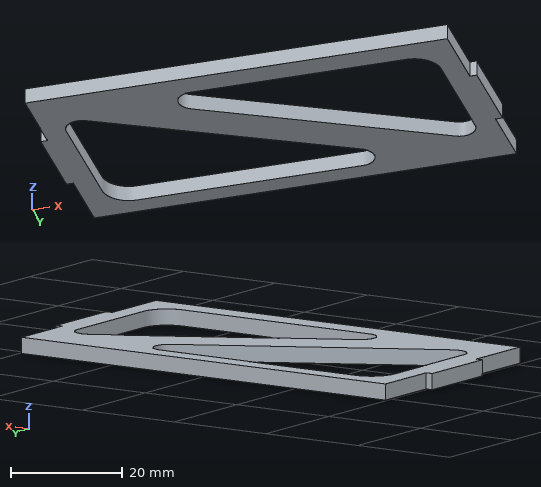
import cadquery as cq
import math

overall_length = 82.0
plate_width = 43.0
thickness = 3.0
tab_length = 1.3
body_length = overall_length - 2 * tab_length

tab_width = 16.0
tab_front_margin = 14.0
tab_center_y = -plate_width / 2 + tab_front_margin + tab_width / 2

window_half_length = 35.5
back_rim = 4.0
front_rim = 5.0
brace_width = 8.0
square_corner_radius = 5.0
sharp_corner_radius = 3.0

brace_slope = plate_width / body_length
brace_half_height = brace_width / 2 / math.cos(math.atan(brace_slope))


def plate_with_tabs():
    body = cq.Workplane("XY").box(body_length, plate_width, thickness)
    tabs = (
        cq.Workplane("XY")
        .center(0, tab_center_y)
        .box(overall_length, tab_width, thickness)
    )
    return body.union(tabs)


def window(side, rim):
    """Triangular cutter: side is -1 for the -X/+Y window, +1 for the +X/-Y one."""
    square_x = side * window_half_length
    square_y = -side * (plate_width / 2 - rim)
    brace_offset = -side * brace_half_height
    upright_end_y = brace_slope * square_x + brace_offset
    rim_end_x = (square_y - brace_offset) / brace_slope

    cutter = (
        cq.Workplane("XY")
        .polyline([(square_x, square_y), (rim_end_x, square_y), (square_x, upright_end_y)])
        .close()
        .extrude(thickness / 2, both=True)
    )

    def rounded(solid, corner, radius):
        nearest_edge = cq.selectors.NearestToPointSelector((corner[0], corner[1], 0))
        return solid.edges("|Z").edges(nearest_edge).fillet(radius)

    cutter = rounded(cutter, (square_x, square_y), square_corner_radius)
    cutter = rounded(cutter, (rim_end_x, square_y), sharp_corner_radius)
    return rounded(cutter, (square_x, upright_end_y), sharp_corner_radius)


result = plate_with_tabs().cut(window(-1, back_rim)).cut(window(1, front_rim))